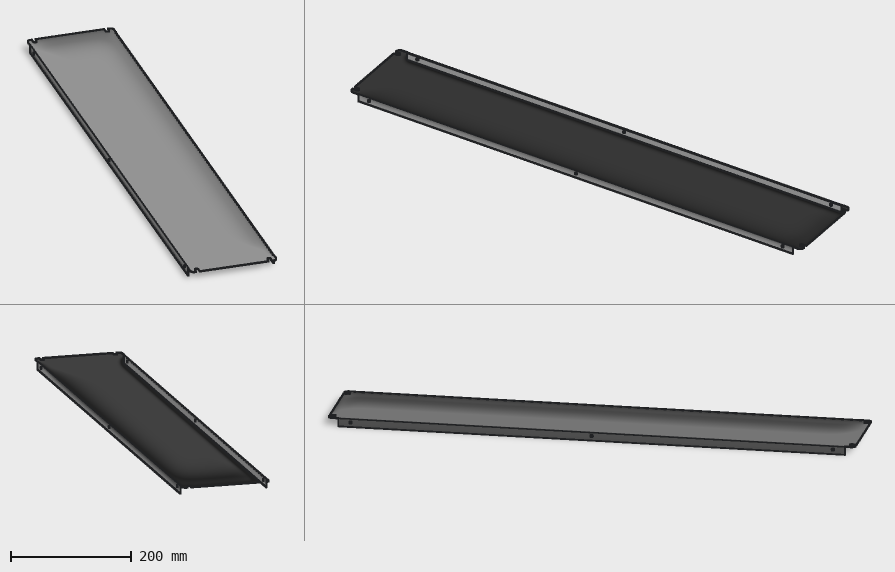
import cadquery as cq

length = 886.5
width = 150.0
height = 15.0
thickness = 1.5
bend_radius = 1.0

flange_setback = 17.0
corner_radius = 7.0

slot_pitch = 126.0
slot_width = 6.0
slot_depth = 11.0

hole_diameter = 4.2
hole_pitch = 406.0
hole_drop = 7.0

flange_length = length - 2 * flange_setback


def face_plate():
    """Flat plate with rounded corners."""
    return (
        cq.Workplane("XY")
        .rect(length, width)
        .extrude(-thickness)
        .edges("|Z")
        .fillet(corner_radius)
    )


def folded_channel():
    """Downward-open channel with rounded outer folds, as long as the flanges."""
    outside = (
        cq.Workplane("XY")
        .box(flange_length, width, height, centered=(True, True, False))
        .translate((0, 0, -height))
        .edges("|X and >Z")
        .fillet(bend_radius)
    )
    inside = (
        cq.Workplane("XY")
        .box(flange_length, width - 2 * thickness, height - thickness, centered=(True, True, False))
        .translate((0, 0, -height))
    )
    return outside.cut(inside)


def fold_clearance():
    """Space outside the rounded folds, to be cleared from the plate edges."""
    block = (
        cq.Workplane("XY")
        .box(flange_length, width, height, centered=(True, True, False))
        .translate((0, 0, -height))
    )
    return block.cut(block.edges("|X and >Z").fillet(bend_radius))


def mounting_slots():
    """Round-bottomed slots that open through both plate ends."""
    return (
        cq.Workplane("XY")
        .rarray(length, slot_pitch, 2, 2)
        .slot2D(2 * slot_depth, slot_width)
        .extrude(-thickness)
    )


def flange_holes():
    """Three cross holes passing through both flanges."""
    return (
        cq.Workplane("XZ", origin=(0, 0, -hole_drop))
        .rarray(hole_pitch, 9, 3, 1)
        .circle(hole_diameter / 2)
        .extrude(width / 2, both=True)
    )


plate = face_plate().cut(fold_clearance()).cut(mounting_slots())
result = plate.union(folded_channel()).cut(flange_holes())